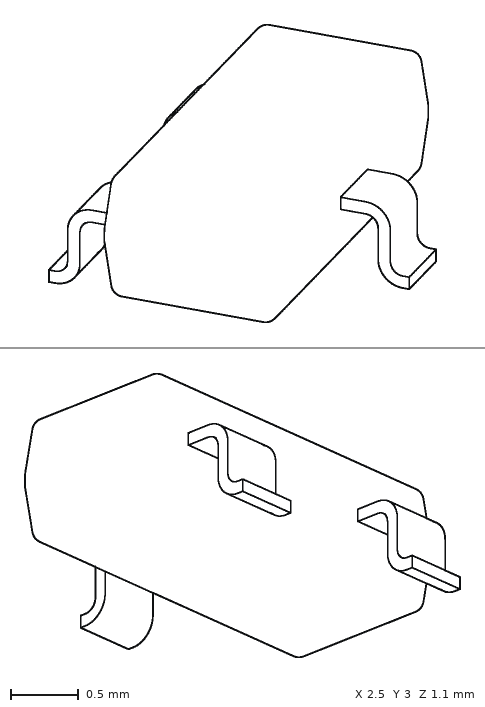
import cadquery as cq

body_length = 3.0
body_width = 1.4
body_height = 1.0
standoff = 0.102
draft_angle = 6.0
edge_radius = 0.1

overall_width = 2.5
lead_thickness = 0.1
lead_width = 0.515
lead_pitch = 1.825
foot_length = 0.05
bend_inner_radius = 0.1

band_height = lead_thickness
body_mid_z = standoff + body_height / 2
half_height = (body_height - band_height) / 2
bend_radius = bend_inner_radius + lead_thickness / 2
tip_x = overall_width / 2
body_side_x = body_width / 2


def make_housing():
    """Flat band around the middle with a drafted half above and below it, all edges rounded."""
    band = (
        cq.Workplane("XY")
        .workplane(offset=body_mid_z - band_height / 2)
        .rect(body_width, body_length)
        .extrude(band_height)
    )
    upper_half = (
        cq.Workplane("XY")
        .workplane(offset=body_mid_z + band_height / 2)
        .rect(body_width, body_length)
        .extrude(half_height, taper=draft_angle)
    )
    lower_half = upper_half.mirror("XY", (0, 0, body_mid_z))
    block = band.union(upper_half).union(lower_half)
    return block.edges().fillet(edge_radius)


def make_lead(side, center_y):
    """Gull-wing strip bent along its centre line, from the tip up to the housing wall.

    side is +1 for a lead on the +X wall and -1 for one on the -X wall.
    """
    foot_z = lead_thickness / 2
    lower_bend_z = foot_z + bend_radius
    upper_bend_z = body_mid_z - bend_radius
    foot_end_x = tip_x - foot_length
    shank_x = foot_end_x - bend_radius
    shoulder_x = shank_x - bend_radius
    centre_line = (
        cq.Workplane("XZ", origin=(0, center_y, 0))
        .moveTo(side * tip_x, foot_z)
        .lineTo(side * foot_end_x, foot_z)
        .tangentArcPoint((side * shank_x, lower_bend_z), relative=False)
        .lineTo(side * shank_x, upper_bend_z)
        .tangentArcPoint((side * shoulder_x, body_mid_z), relative=False)
        .lineTo(side * body_side_x, body_mid_z)
    )
    tip_face = cq.Workplane("YZ", origin=(side * tip_x, center_y, foot_z)).rect(lead_width, lead_thickness)
    return tip_face.sweep(centre_line)


lead_places = [(-1, -lead_pitch / 2), (-1, lead_pitch / 2), (1, 0)]

housing = make_housing()
leads = [make_lead(side, center_y) for side, center_y in lead_places]

result = cq.Compound.makeCompound([housing.val(), *[lead.val() for lead in leads]])